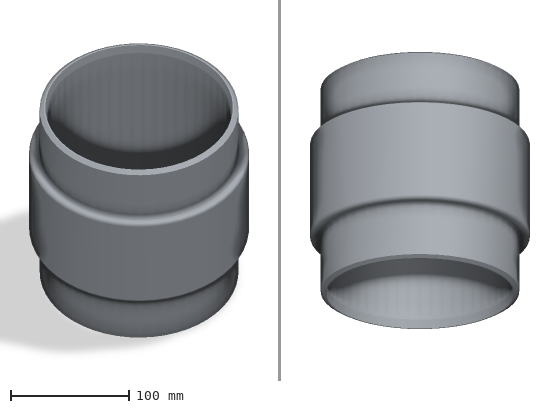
import cadquery as cq

total_length = 188.0
collar_diameter = 186.3
pipe_diameter = 168.3
bore_diameter = 155.7

collar_length = 88.4
collar_round = 3.0
collar_cove = 3.0

outer_bevel_width = 3.5
outer_bevel_height = 2.3
inner_bevel_width = 1.5
inner_bevel_depth = 7.5

end_height = total_length / 2
shoulder_height = collar_length / 2
collar_radius = collar_diameter / 2
pipe_radius = pipe_diameter / 2
bore_radius = bore_diameter / 2


def sleeve_section():
    """Wall section in the XZ plane, drawn anticlockwise from the lower end of the bore."""
    return (
        cq.Workplane("XZ")
        .moveTo(bore_radius, inner_bevel_depth - end_height)
        .lineTo(bore_radius + inner_bevel_width, -end_height)
        .lineTo(pipe_radius - outer_bevel_width, -end_height)
        .lineTo(pipe_radius, outer_bevel_height - end_height)
        .lineTo(pipe_radius, -shoulder_height - collar_cove)
        .radiusArc((pipe_radius + collar_cove, -shoulder_height), collar_cove)
        .lineTo(collar_radius - collar_round, -shoulder_height)
        .radiusArc((collar_radius, collar_round - shoulder_height), -collar_round)
        .lineTo(collar_radius, shoulder_height - collar_round)
        .radiusArc((collar_radius - collar_round, shoulder_height), -collar_round)
        .lineTo(pipe_radius + collar_cove, shoulder_height)
        .radiusArc((pipe_radius, shoulder_height + collar_cove), collar_cove)
        .lineTo(pipe_radius, end_height - outer_bevel_height)
        .lineTo(pipe_radius - outer_bevel_width, end_height)
        .lineTo(bore_radius + inner_bevel_width, end_height)
        .lineTo(bore_radius, end_height - inner_bevel_depth)
        .close()
    )


result = sleeve_section().revolve(360, (0, 0, 0), (0, 1, 0))